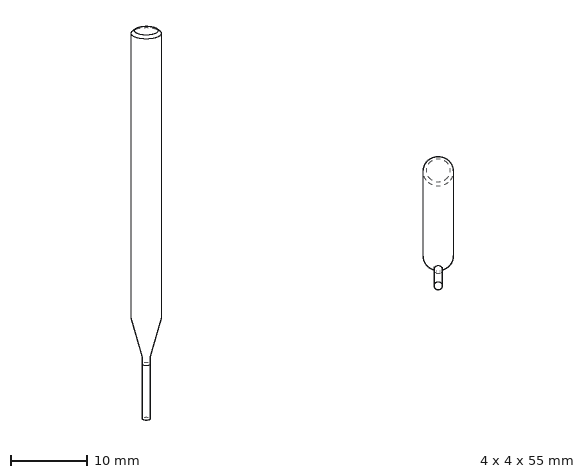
import cadquery as cq
import math

total_length = 55.0
shank_diameter = 4.0
cutter_diameter = 1.1
cutter_length = 7.9
neck_length = 1.05
taper_half_angle = 15.0
point_angle = 140.0
end_chamfer_width = 0.45
end_chamfer_height = 0.4

shank_radius = shank_diameter / 2
cutter_radius = cutter_diameter / 2
point_height = cutter_radius / math.tan(math.radians(point_angle / 2))
taper_start = cutter_length + neck_length
taper_length = (shank_radius - cutter_radius) / math.tan(math.radians(taper_half_angle))
taper_end = taper_start + taper_length


def revolve_outline(outline):
    """Turn a closed (radius, height) outline about the Z axis."""
    return cq.Workplane("XZ").polyline(outline).close().revolve(360, (0, 0), (0, 1))


def make_shank():
    """Cylindrical shank with a chamfered top, a taper and a short neck."""
    return revolve_outline([
        (0, cutter_length),
        (cutter_radius, cutter_length),
        (cutter_radius, taper_start),
        (shank_radius, taper_end),
        (shank_radius, total_length - end_chamfer_height),
        (shank_radius - end_chamfer_width, total_length),
        (0, total_length),
    ])


def make_cutter():
    """Thin cutting rod with a conical point, butted against the neck."""
    return revolve_outline([
        (0, 0),
        (cutter_radius, point_height),
        (cutter_radius, cutter_length),
        (0, cutter_length),
    ])


shank = make_shank()
cutter = make_cutter()

result = cq.Compound.makeCompound([shank.val(), cutter.val()])